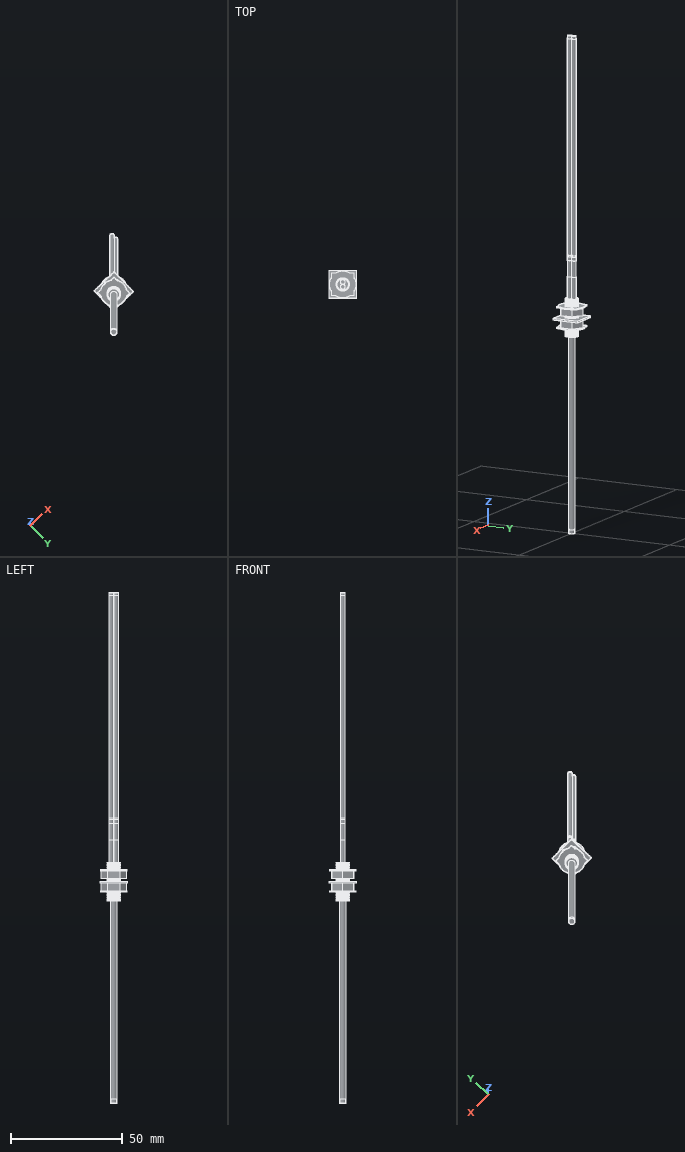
import cadquery as cq
import math

total_length = 229.95
probe_length = 91.15
tip_length = 1.9
sleeve_length = 17.3
sleeve_top = probe_length + sleeve_length

thread_diameter = 6.0
thread_pitch = 0.75
thread_depth = 0.4
crest_width = thread_pitch / 6

nut_across_flats = 10.0
nut_height = 3.5
lower_nut_base = 95.6
upper_nut_base = 101.15
plate_side = 12.54
plate_thickness = 0.8
washer_side = 10.2
washer_diameter = 12.0
washer_thickness = 0.55

probe_diameter = 3.0
tip_diameter = 2.9
fiber_diameter = 2.2
fiber_band_diameter = 2.1
fiber_bands = [(0.0, 1.4), (101.4, 0.7), (103.9, 7.6)]


def cylinder(diameter, base, height):
    return cq.Workplane("XY").workplane(offset=base).circle(diameter / 2).extrude(height)


def make_sleeve():
    """Solid round sleeve whose thread is a row of V-shaped ring grooves."""
    crest = thread_diameter / 2
    root = crest - thread_depth
    half_groove = (thread_pitch - crest_width) / 2
    profile = cq.Workplane("XZ").moveTo(0, probe_length).lineTo(crest, probe_length)
    for i in range(int(sleeve_length / thread_pitch)):
        groove_center = probe_length + (i + 0.5) * thread_pitch
        profile = profile.lineTo(crest, groove_center - half_groove)
        profile = profile.lineTo(root, groove_center)
        profile = profile.lineTo(crest, groove_center + half_groove)
    profile = profile.lineTo(crest, sleeve_top).lineTo(0, sleeve_top).close()
    return profile.revolve(360, (0, 0, 0), (0, 1, 0))


def make_nut(base):
    """Hexagon nut with two flats square to X and corners on the Y axis."""
    across_corners = nut_across_flats / math.cos(math.pi / 6)
    hexagon = cq.Workplane("XY").polygon(6, across_corners).extrude(nut_height)
    hexagon = hexagon.rotate((0, 0, 0), (0, 0, 1), 30).translate((0, 0, base))
    return hexagon.cut(cylinder(thread_diameter, base, nut_height))


def make_square_plate(base, side, thickness):
    plate = cq.Workplane("XY").workplane(offset=base).rect(side, side).extrude(thickness)
    return plate.cut(cylinder(thread_diameter, base, thickness))


def make_washer(base):
    """Thin square washer whose sides bulge outward along a larger circle."""
    bulge = cylinder(washer_diameter, base, washer_thickness)
    bulge = bulge.cut(cylinder(thread_diameter, base, washer_thickness))
    return make_square_plate(base, washer_side, washer_thickness).union(bulge)


def make_fiber(y):
    """Round fiber standing on the sleeve, slightly thinner along its bands."""
    fiber = cylinder(fiber_diameter, sleeve_top, total_length - sleeve_top)
    for distance, length in fiber_bands:
        base = total_length - distance - length
        ring = cylinder(fiber_diameter, base, length).cut(cylinder(fiber_band_diameter, base, length))
        fiber = fiber.cut(ring)
    return fiber.translate((0, y, 0))


def make_probe():
    """Round rod under the sleeve, ending in a slightly thinner tip."""
    rod = cylinder(probe_diameter, tip_length, probe_length - tip_length)
    return rod.union(cylinder(tip_diameter, 0, tip_length))


sleeve = make_sleeve()
nuts = [make_nut(base) for base in (lower_nut_base, upper_nut_base)]

washer_bases = (lower_nut_base - washer_thickness, upper_nut_base + nut_height)
washers = [make_washer(base) for base in washer_bases]
plate = make_square_plate(lower_nut_base + nut_height, plate_side, plate_thickness)

fibers = [make_fiber(side * fiber_diameter / 2) for side in (-1, 1)]
probe = make_probe()

bodies = [sleeve, *nuts, *washers, plate, *fibers, probe]
result = cq.Compound.makeCompound([body.val() for body in bodies])